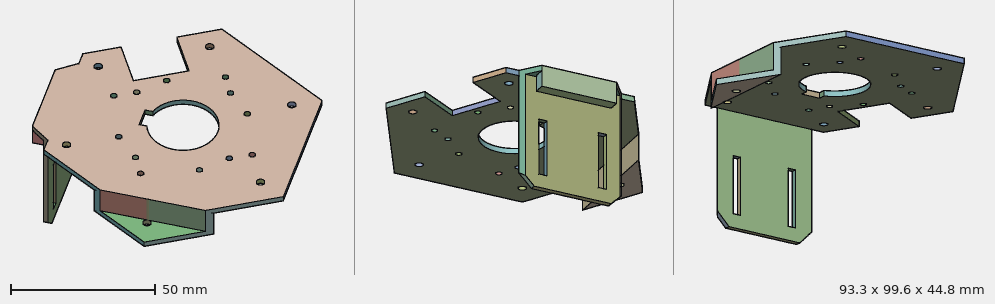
import cadquery as cq
import math

hex_radius = 49.8
hex_apothem = hex_radius * math.cos(math.radians(30))
sheet = 2.1
total_height = 44.8

tab_tip_x = -50.2
tab_tip_half_width = 14.5
flange_width = 39.9
flange_outer_x = -45.1
flange_corner = 5.0
lip_thickness = 4.3
lip_depth = 8.2
slot_width = 3.1
slot_length = 21.3
slot_offset = 11.6
slot_top_depth = 18.3

step_depth = 12.2
step_wall_outer_y = -38.9
step_wall = 1.5

bore_diameter = 25.0
key_tip_x = -14.7
key_width = 7.5
notch_width = 19.9
notch_floor = 25.8
notch_shift = -1.2

mount_diameter = 2.9
mount_left = (-36.3, 20.3)
mount_right = (33.6, 20.0)
mount_end = (-1.7, 40.3)
small_diameter = 2.2
ring_radius = 23.0
outer_small = (7.7, 27.1)


def block(x0, x1, y0, y1, z0, z1):
    """Box between two opposite corners."""
    return cq.Workplane("XY").box(x1 - x0, y1 - y0, z1 - z0, centered=False).translate((x0, y0, z0))


def hex_prism():
    """Hexagon with corners on the Y axis, as deep as the lowered corner."""
    corners = [
        (hex_radius * math.cos(math.radians(a)), hex_radius * math.sin(math.radians(a)))
        for a in range(30, 390, 60)
    ]
    return cq.Workplane("XY").polyline(corners).close().extrude(-step_depth)


def stepped_plate():
    """Flat plate joined to the lowered corner by an upright wall."""
    wall_inner_y = step_wall_outer_y + step_wall
    layers = block(-hex_radius, hex_radius, step_wall_outer_y, hex_radius, -sheet, 0)
    layers = layers.union(
        block(-hex_radius, hex_radius, step_wall_outer_y, wall_inner_y, -step_depth, 0)
    )
    layers = layers.union(
        block(-hex_radius, hex_radius, -hex_radius, wall_inner_y, -step_depth, sheet - step_depth)
    )
    return hex_prism().intersect(layers)


def tab_prism(depth):
    """Tapered tab outline extruded downwards."""
    half = flange_width / 2
    outline = [
        (-hex_apothem, half),
        (tab_tip_x, tab_tip_half_width),
        (tab_tip_x, -tab_tip_half_width),
        (-hex_apothem, -half),
    ]
    return cq.Workplane("XY").polyline(outline).close().extrude(-depth)


def flange():
    """Slotted upright flange whose ends follow the taper of the tab."""
    half = flange_width / 2
    inner_x = flange_outer_x + sheet
    panel = block(flange_outer_x, inner_x, -half, half, -total_height, 0)
    panel = panel.edges("|X and <Z").chamfer(flange_corner)
    tapered = tab_prism(total_height).union(
        block(-hex_apothem, inner_x, -half, half, -total_height, 0)
    )
    panel = panel.intersect(tapered)
    for y in (-slot_offset, slot_offset):
        panel = panel.cut(
            block(
                flange_outer_x, inner_x, y - slot_width / 2, y + slot_width / 2,
                -slot_top_depth - slot_length, -slot_top_depth,
            )
        )
    return panel


def lip():
    """Straight lip hanging from the tip of the tab."""
    return block(
        tab_tip_x, tab_tip_x + lip_thickness, -tab_tip_half_width, tab_tip_half_width, -lip_depth, 0
    )


def bore():
    """Central bore with a key slot towards -X."""
    hole = cq.Workplane("XY").circle(bore_diameter / 2).extrude(-sheet)
    return hole.union(block(key_tip_x, 0, -key_width / 2, key_width / 2, -sheet, 0))


def notch():
    """Rectangular notch, square to the hexagon side facing -X +Y."""
    left = notch_shift - notch_width / 2
    cutter = block(left, left + notch_width, notch_floor, hex_radius, -sheet, 0)
    return cutter.rotate((0, 0, 0), (0, 0, 1), 30)


def holes(points, diameter):
    """Round holes through the plate and the lowered corner."""
    return cq.Workplane("XY").pushPoints(points).circle(diameter / 2).extrude(-step_depth)


mount_points = [(x, side * y) for x, y in (mount_left, mount_right, mount_end) for side in (1, -1)]

ring_points = [
    (ring_radius * math.cos(math.radians(a)), ring_radius * math.sin(math.radians(a)))
    for a in range(0, 360, 30)
    if a % 90
]
u, v = outer_small
outer_small_points = [(u, v), (-v, u), (-u, -v), (v, -u)]

result = stepped_plate().union(tab_prism(sheet)).union(flange()).union(lip())
result = result.cut(bore()).cut(notch())
result = result.cut(holes(mount_points, mount_diameter))
result = result.cut(holes(ring_points + outer_small_points, small_diameter))